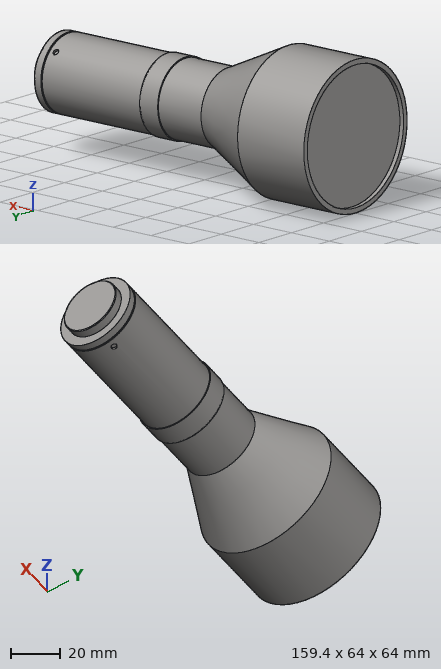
import cadquery as cq

HEAD_END = 35.05
CONE_END = 67.2
COLLAR_START = 89.75
COLLAR_END = 99.3
BARREL_END = 151.5
TOTAL_LENGTH = 159.38
MOUNT_LENGTH = 4.0
FLANGE_X = TOTAL_LENGTH - MOUNT_LENGTH

HEAD_RADIUS = 32.0
TUBE_RADIUS = 17.0
COLLAR_RADIUS = 17.5
MOUNT_RADIUS = 12.7
WINDOW_RADIUS = 29.8

WINDOW_DEPTH = 2.0
MOUNT_CHAMFER = 0.35

GROOVE_WIDTH = 0.5
GROOVE_DEPTH = 0.25

SCREW_X = 148.1
SCREW_DIAMETER = 2.5
SCREW_DEPTH = 1.0
SCREW_COUNT = 3
FIRST_SCREW_ANGLE = 44.0


def make_body():
    """Turned outline of the whole lens barrel, revolved about X."""
    groove_floor = TUBE_RADIUS - GROOVE_DEPTH
    groove_end = BARREL_END + GROOVE_WIDTH
    outline = [
        (0, 0),
        (0, HEAD_RADIUS),
        (HEAD_END, HEAD_RADIUS),
        (CONE_END, TUBE_RADIUS),
        (COLLAR_START, TUBE_RADIUS),
        (COLLAR_START, COLLAR_RADIUS),
        (COLLAR_END, COLLAR_RADIUS),
        (COLLAR_END, TUBE_RADIUS),
        (BARREL_END, TUBE_RADIUS),
        (BARREL_END, groove_floor),
        (groove_end, groove_floor),
        (groove_end, TUBE_RADIUS),
        (FLANGE_X, TUBE_RADIUS),
        (FLANGE_X, MOUNT_RADIUS),
        (TOTAL_LENGTH - MOUNT_CHAMFER, MOUNT_RADIUS),
        (TOTAL_LENGTH, MOUNT_RADIUS - MOUNT_CHAMFER),
        (TOTAL_LENGTH, 0),
    ]
    return cq.Workplane("XY").polyline(outline).close().revolve(360, (0, 0, 0), (1, 0, 0))


def make_window_recess():
    """Shallow round recess in the front face, leaving a thin rim."""
    return cq.Workplane("YZ").circle(WINDOW_RADIUS).extrude(WINDOW_DEPTH)


def make_screw_hole(angle):
    """Radial blind hole in the barrel, at an angle from +Y towards +Z."""
    floor_radius = TUBE_RADIUS - SCREW_DEPTH
    hole = (
        cq.Workplane("XZ", origin=(SCREW_X, floor_radius, 0))
        .circle(SCREW_DIAMETER / 2)
        .extrude(-2 * SCREW_DEPTH)
    )
    return hole.rotate((0, 0, 0), (1, 0, 0), angle)


result = make_body().cut(make_window_recess())
for index in range(SCREW_COUNT):
    screw_angle = FIRST_SCREW_ANGLE + index * 360.0 / SCREW_COUNT
    result = result.cut(make_screw_hole(screw_angle))